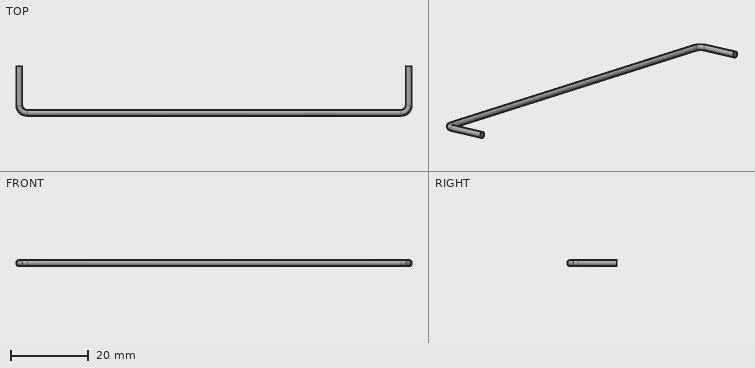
import cadquery as cq

wire_diameter = 1.6
overall_length = 101.61
overall_depth = 12.8
bend_radius = 2.0

wire_radius = wire_diameter / 2
leg_x = overall_length / 2 - wire_radius
leg_end_y = overall_depth - wire_radius
straight_end_x = leg_x - bend_radius


def wire_centreline():
    """U-shaped path in the XY plane: leg, bend, long rod, bend, leg."""
    return (
        cq.Workplane("XY")
        .moveTo(-leg_x, leg_end_y)
        .lineTo(-leg_x, bend_radius)
        .tangentArcPoint((-straight_end_x, 0), relative=False)
        .lineTo(straight_end_x, 0)
        .tangentArcPoint((leg_x, bend_radius), relative=False)
        .lineTo(leg_x, leg_end_y)
    )


def bent_wire():
    """Round section at the end of the left leg, swept along the centreline."""
    leg_end = cq.Workplane("XZ", origin=(-leg_x, leg_end_y, 0))
    return leg_end.circle(wire_radius).sweep(wire_centreline())


result = bent_wire()